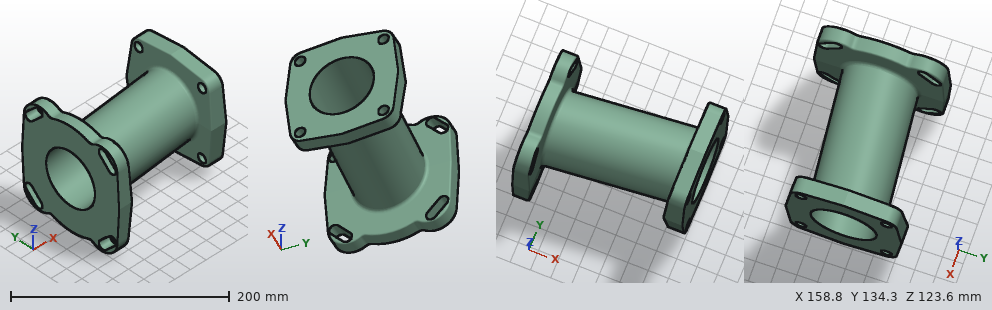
import math

import cadquery as cq

LENGTH = 158.75
PIPE_SHIFT = 14.75
PIPE_DIAMETER = 72.85
BORE_DIAMETER = 63.5
PIPE_FILLET = 3.175

ROOF_ANGLE = 3.0
EDGE_FILLET = 1.5875
BOLT_DIAMETER = 10.3

SLOTTED_RIDGE_THICKNESS = 17.55
SLOTTED_RADIUS = 61.81
SLOTTED_HALF_WIDTH = 63.41
BOSS_CENTER = 40.5
BOSS_RADIUS = 20.64
NECK_RADIUS = 6.35
SLOT_MIDDLE = 48.0
SLOT_SPAN = 16.8

SQUARE_RIDGE_THICKNESS = 19.05
SQUARE_HALF_WIDTH = 56.1
CORNER_CENTER = 38.8
CORNER_RADIUS = 12.7
HOLE_OFFSET = 41.4

QUADRANTS = [(1, 1), (-1, 1), (-1, -1), (1, -1)]
PIPE_DIRECTION = cq.Vector(LENGTH, PIPE_SHIFT, 0).normalized()


def polar(center, radius, angle):
    """Point at `angle` (radians) on a circle."""
    return (center[0] + radius * math.cos(angle), center[1] + radius * math.sin(angle))


def opposite(point):
    """The point's mirror image on the -Y side of the flange."""
    return (-point[0], point[1])


def tangent_angle(apex, center, radius):
    """Angle on the circle where the line from an apex on the first axis touches it, outer side."""
    to_apex = math.atan2(-center, apex - center)
    return to_apex + math.acos(radius / math.hypot(apex - center, center))


def slotted_outline():
    """Central disc with four corner lobes; the two Y sides come to a shallow apex."""
    disc = (0, 0)
    boss = (BOSS_CENTER, BOSS_CENTER)
    boss_distance = math.hypot(*boss)

    disc_to_neck = SLOTTED_RADIUS + NECK_RADIUS
    boss_to_neck = BOSS_RADIUS + NECK_RADIUS
    squares = boss_distance**2 + disc_to_neck**2 - boss_to_neck**2
    angle_at_disc = math.acos(squares / (2 * boss_distance * disc_to_neck))
    disc_angle = math.radians(45) + angle_at_disc
    neck = polar(disc, disc_to_neck, disc_angle)
    boss_angle = math.atan2(neck[1] - boss[1], neck[0] - boss[0])
    side_angle = tangent_angle(SLOTTED_HALF_WIDTH, BOSS_CENTER, BOSS_RADIUS)
    neck_to_disc = disc_angle - math.pi
    neck_to_boss = boss_angle - math.pi

    side_touch = polar(boss, BOSS_RADIUS, side_angle)
    boss_middle = polar(boss, BOSS_RADIUS, (side_angle + boss_angle) / 2)
    boss_end = polar(boss, BOSS_RADIUS, boss_angle)
    neck_middle = polar(neck, NECK_RADIUS, (neck_to_boss + neck_to_disc) / 2)
    disc_start = polar(disc, SLOTTED_RADIUS, disc_angle)
    disc_top = (0, SLOTTED_RADIUS)

    upper_half = (
        cq.Workplane("YZ")
        .moveTo(SLOTTED_HALF_WIDTH, 0)
        .lineTo(*side_touch)
        .threePointArc(boss_middle, boss_end)
        .threePointArc(neck_middle, disc_start)
        .threePointArc(disc_top, opposite(disc_start))
        .threePointArc(opposite(neck_middle), opposite(boss_end))
        .threePointArc(opposite(boss_middle), opposite(side_touch))
        .lineTo(-SLOTTED_HALF_WIDTH, 0)
    )
    return upper_half.mirrorX()


def square_outline():
    """Rounded square whose four sides each come to a shallow apex at mid length."""
    center = (CORNER_CENTER, CORNER_CENTER)
    start_angle = tangent_angle(SQUARE_HALF_WIDTH, CORNER_CENTER, CORNER_RADIUS)
    arc_start = polar(center, CORNER_RADIUS, start_angle)
    arc_middle = polar(center, CORNER_RADIUS, math.radians(45))
    arc_end = polar(center, CORNER_RADIUS, math.radians(90) - start_angle)
    upper_half = (
        cq.Workplane("YZ")
        .moveTo(SQUARE_HALF_WIDTH, 0)
        .lineTo(*arc_start)
        .threePointArc(arc_middle, arc_end)
        .lineTo(0, SQUARE_HALF_WIDTH)
        .lineTo(*opposite(arc_end))
        .threePointArc(opposite(arc_middle), opposite(arc_start))
        .lineTo(-SQUARE_HALF_WIDTH, 0)
    )
    return upper_half.mirrorX()


def flange(outline, ridge_thickness):
    """Plate with its flat face at X = 0 and a rounded, ridged inner face toward +X."""
    half_height = SLOTTED_RADIUS + SQUARE_HALF_WIDTH
    eave = ridge_thickness - half_height * math.tan(math.radians(ROOF_ANGLE))
    ridged_block = (
        cq.Workplane("XZ")
        .polyline([
            (0, -half_height),
            (eave, -half_height),
            (ridge_thickness, 0),
            (eave, half_height),
            (0, half_height),
        ])
        .close()
        .extrude(half_height, both=True)
    )
    plate = outline.extrude(ridge_thickness).intersect(ridged_block)
    return plate.faces(">X").edges("not(|Y)").fillet(EDGE_FILLET)


def slotted_flange():
    plate = flange(slotted_outline(), SLOTTED_RIDGE_THICKNESS)
    for side_y, side_z in QUADRANTS:
        slot = (
            cq.Workplane("YZ")
            .center(side_y * SLOT_MIDDLE, side_z * SLOT_MIDDLE)
            .slot2D(SLOT_SPAN + BOLT_DIAMETER, BOLT_DIAMETER, -45 * side_y * side_z)
            .extrude(SLOTTED_RIDGE_THICKNESS)
        )
        plate = plate.cut(slot)
    return plate


def square_flange():
    plate = flange(square_outline(), SQUARE_RIDGE_THICKNESS)
    hole_places = [(side_y * HOLE_OFFSET, side_z * HOLE_OFFSET) for side_y, side_z in QUADRANTS]
    holes = (
        cq.Workplane("YZ")
        .pushPoints(hole_places)
        .circle(BOLT_DIAMETER / 2)
        .extrude(SQUARE_RIDGE_THICKNESS)
    )
    plate = plate.cut(holes)
    return plate.mirror("YZ").translate((LENGTH, PIPE_SHIFT, 0))


def slanted_cylinder(diameter, overrun):
    """Cylinder on the slanted pipe axis, running `overrun` past both end planes."""
    axis_length = math.hypot(LENGTH, PIPE_SHIFT)
    cylinder = cq.Solid.makeCylinder(
        diameter / 2, axis_length + 2 * overrun, PIPE_DIRECTION * -overrun, PIPE_DIRECTION
    )
    return cq.Workplane(cylinder.rotate(cq.Vector(), PIPE_DIRECTION, 90))


def pipe_joint_edges():
    """Box around the pipe between the flanges that catches its two joint curves."""
    reach = PIPE_DIAMETER / 2
    return cq.selectors.BoxSelector(
        (SLOTTED_RIDGE_THICKNESS / 2, -reach, -reach),
        (LENGTH - SQUARE_RIDGE_THICKNESS / 2, reach, reach),
    )


def body():
    pipe = slanted_cylinder(PIPE_DIAMETER, -SLOTTED_RIDGE_THICKNESS / 2)
    joined = slotted_flange().union(square_flange()).union(pipe)
    joints = joined.edges(pipe_joint_edges()).edges("%ELLIPSE")
    return joints.fillet(PIPE_FILLET)


result = body().cut(slanted_cylinder(BORE_DIAMETER, BORE_DIAMETER / 2))